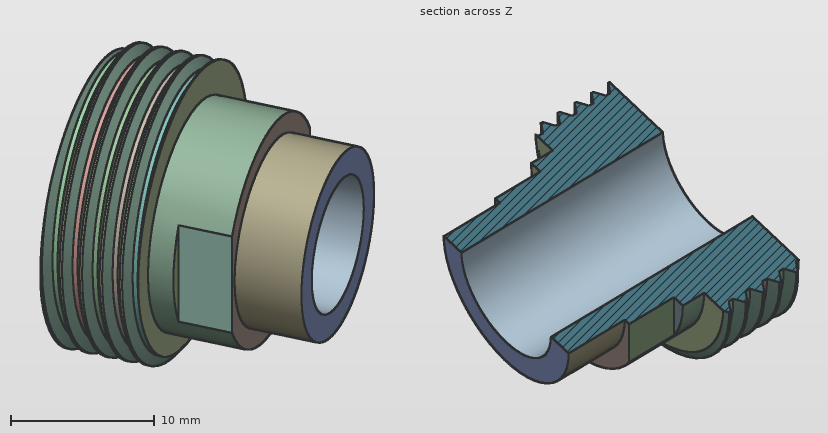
import cadquery as cq
import math

total_length = 18.0
collar_end = 13.0
collar_radius = 8.5
spigot_radius = 7.0
bore_radius = 5.0

flat_start = 9.0
flat_distance = 7.5

thread_length = 7.1
thread_radius = 11.0
pitch = 1.5
flank_slope = math.tan(math.radians(30))
sharp_height = pitch / (2 * flank_slope)
thread_depth = 5 / 8 * sharp_height
root_radius = thread_radius - thread_depth
crest_width = pitch / 8
ridge_embedment = 0.1
crest_position = 0.42
extra_turns = 2


def cylinder(radius, start, end):
    """Solid cylinder along X from start to end."""
    return cq.Workplane("YZ").workplane(offset=start).circle(radius).extrude(end - start)


def thread_ridge():
    """Helical ridge of trapezoidal section, trimmed flat at both ends of the thread."""
    ridge_start = crest_position - extra_turns * pitch
    ridge_length = thread_length - ridge_start + extra_turns * pitch
    base_radius = root_radius - ridge_embedment
    half_crest = crest_width / 2
    half_base = half_crest + (thread_radius - base_radius) * flank_slope

    helix = cq.Workplane(cq.Wire.makeHelix(pitch, ridge_length, root_radius))
    ridge = (
        cq.Workplane("XZ")
        .polyline([
            (base_radius, -half_base),
            (thread_radius, -half_crest),
            (thread_radius, half_crest),
            (base_radius, half_base),
        ])
        .close()
        .sweep(helix, isFrenet=True)
    )
    ridge = ridge.rotate((0, 0, 0), (0, 1, 0), 90).translate((ridge_start, 0, 0))
    return ridge.intersect(cylinder(thread_radius + pitch, 0, thread_length))


def wrench_flat(side):
    """Block that removes the collar beyond the flat; side is -1 or +1 along Y."""
    block_depth = collar_radius
    block = cq.Workplane("XY").box(collar_end - flat_start, block_depth, 2 * collar_radius)
    center_x = (flat_start + collar_end) / 2
    center_y = side * (flat_distance + block_depth / 2)
    return block.translate((center_x, center_y, 0))


threaded_head = cylinder(root_radius, 0, thread_length).union(thread_ridge())

collar = cylinder(collar_radius, 0, collar_end)
for side in (-1, 1):
    collar = collar.cut(wrench_flat(side))

spigot = cylinder(spigot_radius, 0, total_length)

result = (
    threaded_head
    .union(collar)
    .union(spigot)
    .cut(cylinder(bore_radius, 0, total_length))
)